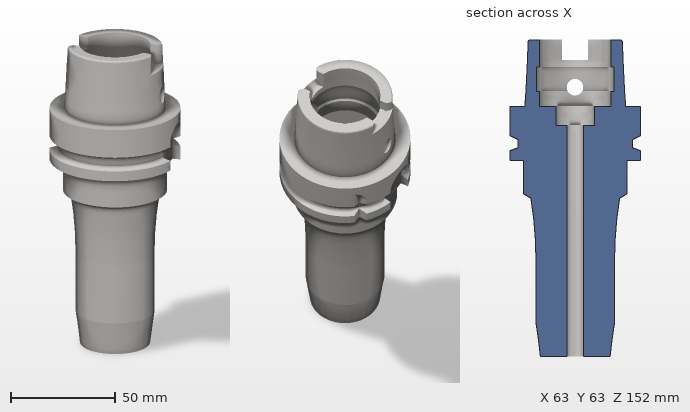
import cadquery as cq
import math

length = 152.0

nose_tip_radius = 16.9
nose_radius = 19.0
nose_taper_top = 16.4
neck_bottom = 46.2
neck_top = 76.0
neck_top_radius = 21.5
collar_radius = 25.1
collar_bottom = 78.1

flange_radius = 31.5
flange_bottom = 94.0
flange_top = 120.1
groove_radius = 27.7
groove_lower_edge = 99.0
groove_bottom = 100.3
groove_top = 104.1
groove_upper_edge = 106.0

shank_base_radius = 24.3
shank_tip_radius = 22.8
shank_rim_round = 0.9
mouth_radius = 17.0
mouth_bottom = 139.0
undercut_radius = 18.5
undercut_bottom = 127.4
bore_floor = flange_top
counterbore_radius = 9.1
counterbore_depth = 9.1
through_radius = 4.0
cross_hole_diameter = 7.9
cross_hole_height = 129.2

drive_slot_width = 12.5
drive_slot_flare_radius = 2.9
drive_slot_flare_end = 21.0
drive_slot_floor_left = 146.0
drive_slot_floor_right = 142.3

keyway_width = 16.1
keyway_floor = 26.5
keyway_top = 115.4
notch_floor = 19.9
notch_side = 20.0
notch_end_radius = 7.0
notch_arc_center = 108.8


def outer_body():
    """Revolve the outside profile; the neck arc runs tangent into the nose cylinder."""
    neck_rise = neck_top - neck_bottom
    neck_flare = neck_top_radius - nose_radius
    neck_arc_radius = (neck_rise**2 + neck_flare**2) / (2 * neck_flare)
    mid_rise = neck_rise / 2
    mid_flare = neck_arc_radius - math.sqrt(neck_arc_radius**2 - mid_rise**2)
    profile = (
        cq.Workplane("XZ")
        .lineTo(nose_tip_radius, 0)
        .lineTo(nose_radius, nose_taper_top)
        .lineTo(nose_radius, neck_bottom)
        .threePointArc(
            (nose_radius + mid_flare, neck_bottom + mid_rise),
            (neck_top_radius, neck_top),
        )
        .lineTo(collar_radius, collar_bottom)
        .lineTo(collar_radius, flange_bottom)
        .lineTo(flange_radius, flange_bottom)
        .lineTo(flange_radius, groove_lower_edge)
        .lineTo(groove_radius, groove_bottom)
        .lineTo(groove_radius, groove_top)
        .lineTo(flange_radius, groove_upper_edge)
        .lineTo(flange_radius, flange_top)
        .lineTo(shank_base_radius, flange_top)
        .lineTo(shank_tip_radius, length - shank_rim_round)
        .radiusArc((shank_tip_radius - shank_rim_round, length), -shank_rim_round)
        .lineTo(0, length)
        .close()
    )
    return profile.revolve(360, (0, 0, 0), (0, 1, 0))


def inner_bore():
    """Stepped bore: mouth, undercut, counterbore and central through hole."""
    counterbore_floor = bore_floor - counterbore_depth
    profile = (
        cq.Workplane("XZ")
        .lineTo(through_radius, 0)
        .lineTo(through_radius, counterbore_floor)
        .lineTo(counterbore_radius, counterbore_floor)
        .lineTo(counterbore_radius, bore_floor)
        .lineTo(mouth_radius, bore_floor)
        .lineTo(mouth_radius, undercut_bottom)
        .lineTo(undercut_radius, undercut_bottom)
        .lineTo(undercut_radius, mouth_bottom)
        .lineTo(mouth_radius, mouth_bottom)
        .lineTo(mouth_radius, length)
        .lineTo(0, length)
        .close()
    )
    return profile.revolve(360, (0, 0, 0), (0, 1, 0))


def drive_slot(side, floor):
    """Slot through the shank wall at X = side, with walls rounded off at the outer end."""
    half_width = drive_slot_width / 2
    flare_start = drive_slot_flare_end - drive_slot_flare_radius
    flare_half_width = half_width + drive_slot_flare_radius
    outer_x = flange_radius
    outer_half_width = shank_base_radius / 2
    return (
        cq.Workplane("XY", origin=(0, 0, floor))
        .moveTo(0, -half_width)
        .lineTo(side * flare_start, -half_width)
        .radiusArc((side * drive_slot_flare_end, -flare_half_width), side * drive_slot_flare_radius)
        .lineTo(side * drive_slot_flare_end, -outer_half_width)
        .lineTo(side * outer_x, -outer_half_width)
        .lineTo(side * outer_x, outer_half_width)
        .lineTo(side * drive_slot_flare_end, outer_half_width)
        .lineTo(side * drive_slot_flare_end, flare_half_width)
        .radiusArc((side * flare_start, half_width), side * drive_slot_flare_radius)
        .lineTo(0, half_width)
        .close()
        .extrude(length - floor)
    )


def round_end_slot(side, floor, center_y, width, arc_center):
    """Flat-floored slot open at the flange underside, with a half-round upper end."""
    radius = width / 2
    return (
        cq.Workplane("YZ", origin=(side * floor, 0, 0))
        .moveTo(center_y - radius, flange_bottom)
        .lineTo(center_y - radius, arc_center)
        .threePointArc((center_y, arc_center + radius), (center_y + radius, arc_center))
        .lineTo(center_y + radius, flange_bottom)
        .close()
        .extrude(side * flange_radius)
    )


def cross_hole():
    """Round hole along X through both shank walls."""
    return (
        cq.Workplane("YZ", origin=(-flange_radius, 0, cross_hole_height))
        .circle(cross_hole_diameter / 2)
        .extrude(2 * flange_radius)
    )


result = outer_body().cut(inner_bore()).cut(cross_hole())

for side, slot_floor in ((-1, drive_slot_floor_left), (1, drive_slot_floor_right)):
    keyway_arc_center = keyway_top - keyway_width / 2
    result = result.cut(drive_slot(side, slot_floor))
    result = result.cut(round_end_slot(side, keyway_floor, 0, keyway_width, keyway_arc_center))

notch_center = notch_side + notch_end_radius
notch = round_end_slot(-1, notch_floor, notch_center, 2 * notch_end_radius, notch_arc_center)
result = result.cut(notch)